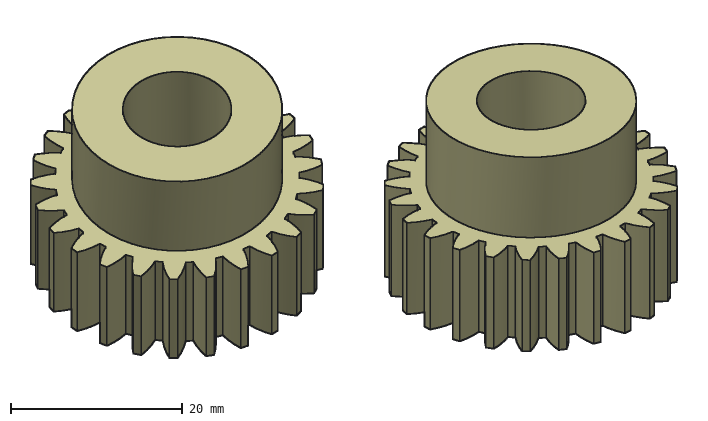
import cadquery as cq
import math

tooth_count = 25
outer_width = 34.27
tip_thickness = 0.95
root_thickness = 2.7
gear_height = 12.7

hub_diameter = 24.6
hub_height = 11.17
bore_diameter = 12.7

pitch_angle = 2 * math.pi / tooth_count
tip_offset = pitch_angle / 4
tip_chord_distance = (outer_width - tip_thickness * math.sin(tip_offset)) / (2 * math.cos(tip_offset))
tip_radius = math.hypot(tip_chord_distance, tip_thickness / 2)

dedendum_factor = 1.25
module = 2 * tip_radius / (tooth_count + 2)
pitch_radius = module * tooth_count / 2
root_radius = pitch_radius - dedendum_factor * module
pitch_thickness = math.pi * module / 2


def polar(radius, angle):
    return radius * math.cos(angle), radius * math.sin(angle)


def half_angle(thickness, radius):
    """Angle from the tooth centre line to a flank, for a chordal thickness at a radius."""
    return math.asin(thickness / (2 * radius))


def gear_outline():
    root_half = half_angle(root_thickness, root_radius)
    mid_half = half_angle(pitch_thickness, pitch_radius)
    tip_half = half_angle(tip_thickness, tip_radius)
    first_center = math.pi / 2
    outline = cq.Workplane("XY").moveTo(*polar(root_radius, first_center - root_half))
    for tooth in range(tooth_count):
        center = first_center + tooth * pitch_angle
        next_center = center + pitch_angle
        outline = (
            outline
            .threePointArc(polar(pitch_radius, center - mid_half), polar(tip_radius, center - tip_half))
            .threePointArc(polar(tip_radius, center), polar(tip_radius, center + tip_half))
            .threePointArc(polar(pitch_radius, center + mid_half), polar(root_radius, center + root_half))
            .threePointArc(
                polar(root_radius, center + pitch_angle / 2),
                polar(root_radius, next_center - root_half),
            )
        )
    return outline.close()


gear = gear_outline().extrude(gear_height)
hub = cq.Workplane("XY").circle(hub_diameter / 2).extrude(gear_height + hub_height)
bore = cq.Workplane("XY").circle(bore_diameter / 2).extrude(gear_height + hub_height)

result = gear.union(hub).cut(bore)